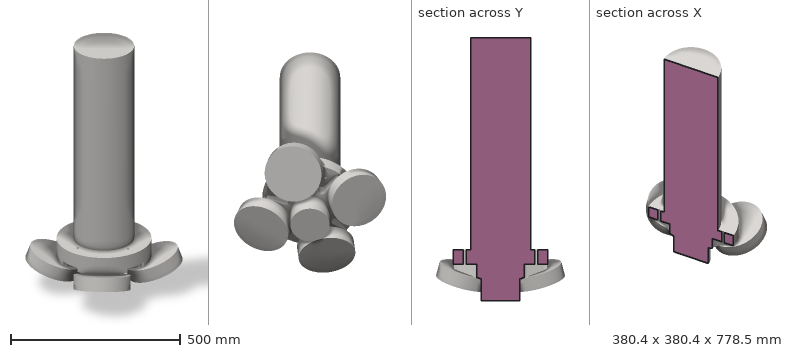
import cadquery as cq
import math

total_height = 778.5
column_diameter = 179.0
flange_diameter = 281.0
flange_top = 151.0
stub_diameter = 116.0
stub_height = 64.0

disc_diameter = 169.0
disc_thickness = 42.0
disc_tilt = 20.0
disc_center_radius = 153.0
disc_embed = 1.0
disc_count = 4

pocket_ceiling = 107.5
pocket_mouth_width = 65.0
pocket_shoulder_radius = 128.5
pocket_throat_width = 51.0
pocket_end_radius = 11.0
pocket_inner_reach = 71.0
bolt_hole_diameter = 8.0
bolt_circle_radius = 105.0

flange_radius = flange_diameter / 2
stub_radius = stub_diameter / 2
tilt = math.radians(disc_tilt)
cone_rim_height = stub_height + (flange_radius - stub_radius) * math.tan(tilt)


def spin(shape, step, start=0):
    """Turn a shape to one of the evenly spaced positions around the axis."""
    return shape.rotate((0, 0, 0), (0, 0, 1), start + step * 360 / disc_count)


def make_body():
    """Revolve the stub, conical underside, flange and column."""
    column_radius = column_diameter / 2
    return (
        cq.Workplane("XZ")
        .lineTo(stub_radius, 0)
        .lineTo(stub_radius, stub_height)
        .lineTo(flange_radius, cone_rim_height)
        .lineTo(flange_radius, flange_top)
        .lineTo(column_radius, flange_top)
        .lineTo(column_radius, total_height)
        .lineTo(0, total_height)
        .close()
        .revolve(360, (0, 0, 0), (0, 1, 0))
    )


def make_pocket():
    """Tapered pocket along +X with a rounded inner end and a wider mouth."""
    mouth = pocket_mouth_width / 2
    throat = pocket_throat_width / 2
    end_center = pocket_inner_reach + pocket_end_radius
    reach = pocket_shoulder_radius - end_center
    corner_distance = math.hypot(reach, throat)
    tangent_angle = math.atan2(throat, reach) + math.acos(pocket_end_radius / corner_distance)
    tangent_x = end_center + pocket_end_radius * math.cos(tangent_angle)
    tangent_y = pocket_end_radius * math.sin(tangent_angle)
    return (
        cq.Workplane("XY")
        .moveTo(flange_diameter, mouth)
        .lineTo(pocket_shoulder_radius, mouth)
        .lineTo(pocket_shoulder_radius, throat)
        .lineTo(tangent_x, tangent_y)
        .threePointArc((pocket_inner_reach, 0), (tangent_x, -tangent_y))
        .lineTo(pocket_shoulder_radius, -throat)
        .lineTo(pocket_shoulder_radius, -mouth)
        .lineTo(flange_diameter, -mouth)
        .close()
        .extrude(pocket_ceiling)
    )


def make_bolt_hole():
    """Vertical hole through the flange above a pocket."""
    return (
        cq.Workplane("XY")
        .center(bolt_circle_radius, 0)
        .circle(bolt_hole_diameter / 2)
        .extrude(flange_top)
    )


def make_disc():
    """Disc on the +X side, leaning inward so its upper face parallel to the cone."""
    upper_center_radius = disc_center_radius - disc_thickness * math.sin(tilt)
    cone_height = stub_height + (upper_center_radius - stub_radius) * math.tan(tilt)
    upper_center_height = cone_height + disc_embed
    lower_center_height = upper_center_height - disc_thickness * math.cos(tilt)
    return (
        cq.Workplane("XY")
        .circle(disc_diameter / 2)
        .extrude(disc_thickness)
        .rotate((0, 0, 0), (0, 1, 0), -disc_tilt)
        .translate((disc_center_radius, 0, lower_center_height))
    )


result = make_body()
pocket = make_pocket()
bolt_hole = make_bolt_hole()
for position in range(disc_count):
    result = result.cut(spin(pocket, position))
    result = result.cut(spin(bolt_hole, position))

disc = make_disc()
for position in range(disc_count):
    result = result.union(spin(disc, position, start=180 / disc_count))